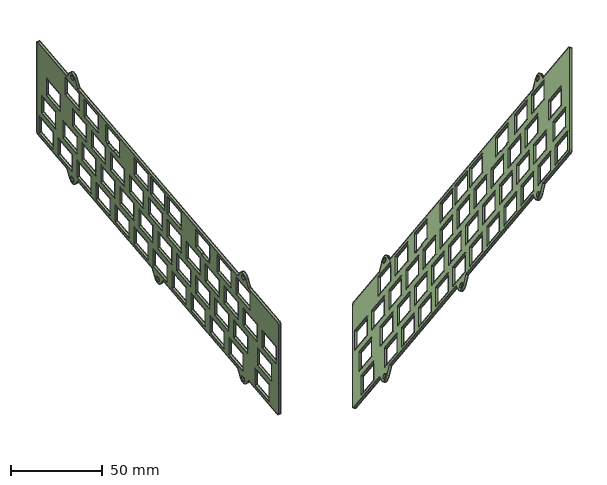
import cadquery as cq
import math

plate_length = 243.0
keys_along_length = 12.75
row_count = 4
pitch = plate_length / keys_along_length
plate_height = row_count * pitch
thickness = 1.5
corner_radius = 1.5

web = 5.0
cutout_size = pitch - web

key_rows = [
    [-5.875 + key for key in range(11)] + [5.5],
    [-5.75] + [-4.625 + key for key in range(10)] + [5.625],
    [-5.5] + [-4.125 + key for key in range(11)],
    [-4.5, -3.5, -2.375, -0.875, 0, 0.875, 2.375, 3.5, 4.5],
]

notch_key = 2.375
notch_width = 6.3
notch_depth = 0.7
notch_offset = 2.2

overall_height = 90.0
tab_radius = 3.2
tab_base_half_width = 5.5
tab_hole_diameter = 3.2
tab_overlap = web / 2
tab_hole_z = overall_height / 2 - tab_radius
outer_tab_x = 4.5 * pitch
top_tabs = [-outer_tab_x, outer_tab_x]
bottom_tabs = [-outer_tab_x, 0, outer_tab_x]


def row_z(row):
    """Height of the key centres in a row, counted from the bottom."""
    return (row - (row_count - 1) / 2) * pitch


def block(width, height, x, z):
    """Rectangular block of plate thickness centred at (x, z)."""
    return cq.Workplane("XZ").center(x, z).rect(width, height).extrude(thickness / 2, both=True)


def tab(x, side):
    """Tapered tab whose flanks run tangent to its round tip; side is +1 for top, -1 for bottom."""
    rise = tab_hole_z - plate_height / 2
    base_to_hole = math.hypot(tab_base_half_width, rise)
    tangent_angle = math.acos(tab_radius / base_to_hole) - math.atan2(rise, tab_base_half_width)
    tangent_x = tab_radius * math.cos(tangent_angle)
    tangent_z = side * (tab_hole_z + tab_radius * math.sin(tangent_angle))
    base_z = side * plate_height / 2
    root_z = base_z - side * tab_overlap
    return (
        cq.Workplane("XZ")
        .moveTo(x - tab_base_half_width, root_z)
        .lineTo(x - tab_base_half_width, base_z)
        .lineTo(x - tangent_x, tangent_z)
        .threePointArc((x, side * overall_height / 2), (x + tangent_x, tangent_z))
        .lineTo(x + tab_base_half_width, base_z)
        .lineTo(x + tab_base_half_width, root_z)
        .close()
        .extrude(thickness / 2, both=True)
    )


plate = block(plate_length, plate_height, 0, 0).edges("|Y").fillet(corner_radius)

tab_places = [(x, 1) for x in top_tabs] + [(x, -1) for x in bottom_tabs]
for x, side in tab_places:
    plate = plate.union(tab(x, side))
tab_holes = (
    cq.Workplane("XZ")
    .pushPoints([(x, side * tab_hole_z) for x, side in tab_places])
    .circle(tab_hole_diameter / 2)
    .extrude(thickness / 2, both=True)
)

key_centres = [(x * pitch, row_z(row)) for row, keys in enumerate(key_rows) for x in keys]
key_cutouts = (
    cq.Workplane("XZ")
    .pushPoints(key_centres)
    .rect(cutout_size, cutout_size)
    .extrude(thickness / 2, both=True)
)

result = plate.cut(tab_holes).cut(key_cutouts)

notch_floor = row_z(row_count - 1) - cutout_size / 2 - notch_depth
for side in (-1, 1):
    notch_x = side * (notch_key * pitch + notch_offset)
    result = result.cut(block(notch_width, 2 * notch_depth, notch_x, notch_floor + notch_depth))